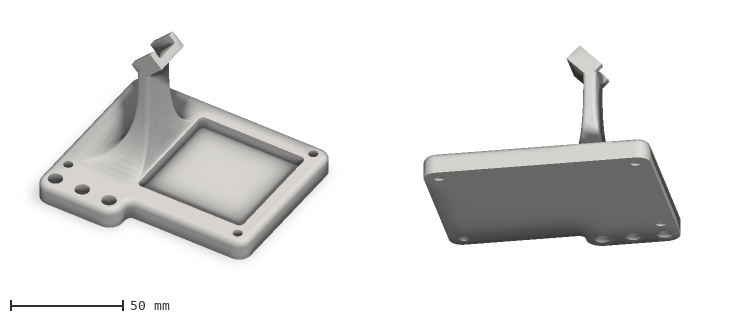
import cadquery as cq
import math

plate_length = 102.6
plate_depth = 88.2
plate_height = 10.0
tab_length = 42.4
tab_depth = 12.1
main_corner_radius = 6.0
tab_corner_radius = 7.0
inner_corner_radius = 3.0
top_edge_radius = 3.0

screw_diameter = 4.5
screw_inset_x = 6.9
screw_inset_y = 6.2
cable_diameter = 7.0
cable_inset = 7.1
cable_spacing = 14.1
cable_count = 3

pocket_size = 54.8
pocket_left = 39.9
pocket_center_y = 50.2
pocket_depth = 6.2
pocket_corner_radius = 2.5

foot_left = 9.5
stem_left = 28.7
stem_right = 34.8
stem_corner_radius = 2.0
foot_corner_radius = 0.1
flare_height = 41.6
flare_steps = 8
flare_exponent = 2.2
right_flare_exponent = 1.7

head_length = 14.3
head_thickness = 8.4
head_width = 19.1
head_tilt = 45.0
head_wall = 3.2
channel_depth = 4.3
head_top_x = 36.1
head_top_z = 71.2


def make_plate():
    blank = (
        cq.Workplane("XY")
        .moveTo(0, 0)
        .lineTo(tab_length, 0)
        .lineTo(tab_length, tab_depth)
        .lineTo(plate_length, tab_depth)
        .lineTo(plate_length, plate_depth)
        .lineTo(0, plate_depth)
        .close()
        .extrude(plate_height)
    )
    inner_corner = cq.selectors.NearestToPointSelector((tab_length, tab_depth, plate_height / 2))
    rounded = blank.edges(inner_corner).fillet(inner_corner_radius)
    for x, y, radius in [
        (0, 0, tab_corner_radius),
        (tab_length, 0, tab_corner_radius),
        (plate_length, tab_depth, main_corner_radius),
        (plate_length, plate_depth, main_corner_radius),
        (0, plate_depth, main_corner_radius),
    ]:
        corner = cq.selectors.NearestToPointSelector((x, y, plate_height / 2))
        rounded = rounded.edges(corner).fillet(radius)
    return rounded.faces(">Z").edges().fillet(top_edge_radius)


def make_holes():
    screw_points = [
        (x, y)
        for x in (screw_inset_x, plate_length - screw_inset_x)
        for y in (tab_depth + screw_inset_y, plate_depth - screw_inset_y)
    ]
    cable_points = [(cable_inset + i * cable_spacing, cable_inset) for i in range(cable_count)]
    screws = cq.Workplane("XY").pushPoints(screw_points).circle(screw_diameter / 2).extrude(plate_height)
    cables = cq.Workplane("XY").pushPoints(cable_points).circle(cable_diameter / 2).extrude(plate_height)
    return screws.union(cables)


def make_pocket():
    return (
        cq.Workplane("XY", origin=(pocket_left + pocket_size / 2, pocket_center_y, plate_height))
        .rect(pocket_size, pocket_size)
        .extrude(-pocket_depth)
        .edges("|Z")
        .fillet(pocket_corner_radius)
    )


def stem_section(t):
    """Rounded rectangle at flare position t, from 0 at the foot to 1 at the neck."""
    spread = (1 - t) ** flare_exponent
    right_spread = (1 - t) ** right_flare_exponent
    left = stem_left + (foot_left - stem_left) * spread
    right = stem_right + (pocket_left - stem_right) * right_spread
    width = head_width + (pocket_size - head_width) * spread
    radius = stem_corner_radius + (foot_corner_radius - stem_corner_radius) * spread
    height = plate_height + flare_height * t**2
    outline = cq.Sketch().rect(right - left, width).vertices().fillet(radius)
    return outline.moved(cq.Location(cq.Vector((left + right) / 2, pocket_center_y, height)))


def make_stem():
    sections = [stem_section(i / flare_steps) for i in range(flare_steps + 1)]
    flare = cq.Workplane("XY").placeSketch(*sections).loft()
    neck = cq.Workplane("XY").placeSketch(stem_section(1)).extrude(head_top_z - plate_height - flare_height)
    return flare.union(neck)


def tilted_bar(length, thickness, width):
    """Bar whose upper face runs down to the left from the highest edge of the head."""
    bar = cq.Workplane("XY").box(length, width, thickness).translate((-length / 2, 0, -thickness / 2))
    tilted = bar.rotate((0, 0, 0), (0, 1, 0), -head_tilt)
    return tilted.translate((head_top_x, pocket_center_y, head_top_z))


def make_channel():
    """Clearance down to the channel floor and out past both ends of the head."""
    overrun = 2 * head_length
    bar = tilted_bar(overrun * 2, 2 * channel_depth, head_width - 2 * head_wall)
    lift = channel_depth * math.sin(math.radians(head_tilt))
    return bar.translate((overrun / 2 - lift, 0, overrun / 2 + lift))


def neck_trim():
    """Space above the plane of the channel floor, where the neck stops."""
    size = 3 * head_length
    block = cq.Workplane("XY").box(size, 2 * head_width, size).translate((0, 0, size / 2 - channel_depth))
    return block.rotate((0, 0, 0), (0, 1, 0), -head_tilt).translate((head_top_x, pocket_center_y, head_top_z))


plate = make_plate().cut(make_holes()).cut(make_pocket())
head = tilted_bar(head_length, head_thickness, head_width).cut(make_channel())
stem = make_stem().cut(neck_trim())
result = plate.union(stem).union(head)